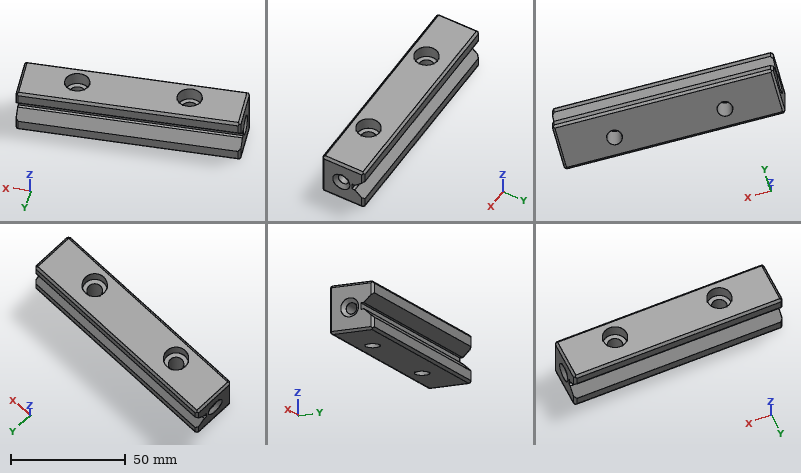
import cadquery as cq
import math

LENGTH = 100.0
WIDTH = 21.3
HEIGHT = 22.0
EDGE_CHAMFER = 1.1

GROOVE_MOUTH = 11.0
GROOVE_DEPTH = 6.0
RELIEF_HEIGHT = 2.8
V_DEPTH = 4.6

SCREW_POSITIONS = (-25.0, 25.0)
SCREW_FROM_FRONT = 9.0
SCREW_DIAMETER = 6.8
HEAD_DIAMETER = 11.0
HEAD_DEPTH = 6.0

END_HOLE_FROM_FRONT = 9.9
END_HOLE_DIAMETER = 5.1
END_HOLE_DEPTH = 15.0
DRILL_TIP_ANGLE = 118.0
COUNTERSINK_DIAMETER = 8.6
COUNTERSINK_DEPTH = 1.8

FRONT = -WIDTH / 2
BACK = WIDTH / 2
TOP = HEIGHT / 2


def chamfered_prism(plane, size_u, size_v, length):
    """Centred rectangular prism with its four long edges chamfered."""
    prism = cq.Workplane(plane).rect(size_u, size_v).extrude(length / 2, both=True)
    long_direction = {"XY": "|Z", "YZ": "|X", "XZ": "|Y"}[plane]
    return prism.edges(long_direction).chamfer(EDGE_CHAMFER)


def chamfered_bar():
    """Overlap of three prisms, so that the chamfers meet in mitred corners."""
    along_x = chamfered_prism("YZ", WIDTH, HEIGHT, LENGTH)
    along_y = chamfered_prism("XZ", LENGTH, HEIGHT, WIDTH)
    along_z = chamfered_prism("XY", LENGTH, WIDTH, HEIGHT)
    return along_x.intersect(along_y).intersect(along_z)


def back_groove():
    """Prism along X whose section is a V ending in a square-cornered relief slot."""
    relief_edge = BACK - V_DEPTH
    slot_floor = BACK - GROOVE_DEPTH
    section = [
        (BACK, GROOVE_MOUTH / 2),
        (relief_edge, RELIEF_HEIGHT / 2),
        (slot_floor, RELIEF_HEIGHT / 2),
        (slot_floor, -RELIEF_HEIGHT / 2),
        (relief_edge, -RELIEF_HEIGHT / 2),
        (BACK, -GROOVE_MOUTH / 2),
    ]
    return cq.Workplane("YZ").polyline(section).close().extrude(LENGTH / 2, both=True)


def cut_screw_holes(bar):
    centers = [(x, FRONT + SCREW_FROM_FRONT) for x in SCREW_POSITIONS]
    top_plane = cq.Workplane("XY", origin=(0, 0, TOP))
    through = top_plane.pushPoints(centers).circle(SCREW_DIAMETER / 2).extrude(-HEIGHT)
    head = top_plane.pushPoints(centers).circle(HEAD_DIAMETER / 2).extrude(-HEAD_DEPTH)
    return bar.cut(through).cut(head)


def left_end_hole():
    """Countersunk drilled hole with a conical bottom, revolved about its axis along X."""
    mouth = -LENGTH / 2
    axis = FRONT + END_HOLE_FROM_FRONT
    radius = END_HOLE_DIAMETER / 2
    tip_length = radius / math.tan(math.radians(DRILL_TIP_ANGLE / 2))
    half_section = [
        (mouth, axis),
        (mouth, axis + COUNTERSINK_DIAMETER / 2),
        (mouth + COUNTERSINK_DEPTH, axis + radius),
        (mouth + END_HOLE_DEPTH, axis + radius),
        (mouth + END_HOLE_DEPTH + tip_length, axis),
    ]
    sketch = cq.Workplane("XY").polyline(half_section).close()
    return sketch.revolve(360, (mouth, axis), (mouth + END_HOLE_DEPTH, axis))


end_hole = left_end_hole()
bar = cut_screw_holes(chamfered_bar().cut(back_groove()))
result = bar.cut(end_hole).cut(end_hole.mirror("YZ"))